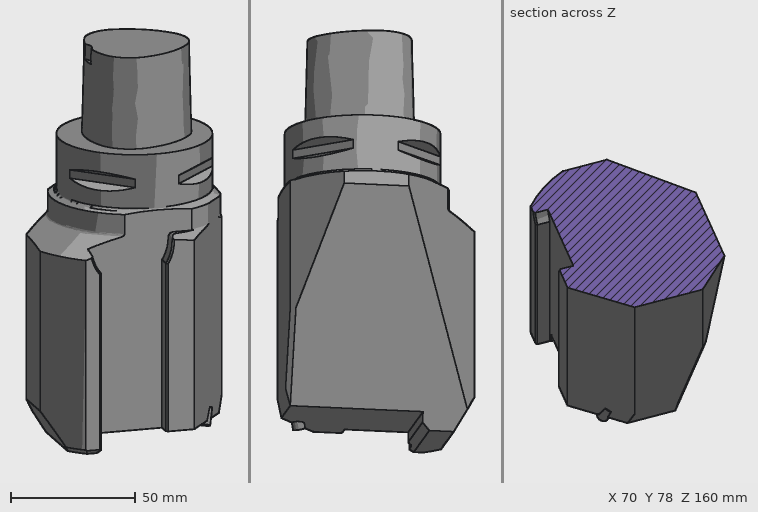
import cadquery as cq
import math

TOTAL_LENGTH = 160.0

SHANK_LENGTH = 38.0
SHANK_TAPER = 0.025
LOBE_REACH = 23.4
SIDE_REACH = 20.7
LOBE_RADIUS = 15.2
NOTCH_DIAMETER = 12.5
NOTCH_DEPTH = 6.3
NOTCH_FLOOR_Y = -18.2

FLANGE_RADIUS = 63 / 2
FLANGE_HEIGHT = 23.5
FLANGE_FILLET = 1.0
NECK_RADIUS = 35.0
NECK_TOP_ANGLE = 15.0
NECK_BOTTOM_Z = -33.2
NECK_FILLET = 1.5
BODY_RADIUS = 50.0
SHOULDER_ANGLE = 25.0
BOTTOM_Z = SHANK_LENGTH - TOTAL_LENGTH
BOTTOM_CHAMFER = 2.3

GROOVE_Z = -12.0
GROOVE_FLOOR = 27.8
GROOVE_FLOOR_WIDTH = 3.5
GROOVE_MOUTH_WIDTH = 7.8

FLAT_DISTANCE = 32.0
SIDE_X = 38.0
FRONT_Y = -46.0
BACK_CORNER_X = 15.8
SIDE_CORNER_Y = 13.3

LEAN_TOP_Z = -29.0
LEAN_BOTTOM_X = 0.2
LEAN_CHAMFER = 2.0

SEAT_Z = -114.9
FOOT_BACK_Y = -24.4
FOOT_CHAMFER = 3.0
FOOT_SIDE_CHAMFER = 2.0
FRONT_BEVEL_HEIGHT = 14.8
FRONT_BEVEL_ANGLE = 30.0
BACK_BEVEL_HEIGHT = 6.9
BACK_BEVEL_DEPTH = 2.0

SLOT_FLOOR_X = 32.0
SLOT_FRONT_Y = -25.8
SLOT_BACK_Y = 1.6
SLOT_EDGE_CHAMFER = 0.7
RELIEF_RADIUS = 17.0
RELIEF_Y = -12.8
RELIEF_Z = -35.4
RELIEF_EDGE_ROUND = 2.3

NOZZLE_DIAMETER = 5.0
NOZZLE_X = 25.0
NOZZLE_Y = 21.9
NOZZLE_LENGTH = 2.4
NOZZLE_DIRECTION = (0.4, -0.25, -1.0)

OVERCUT = 10.0


def polar(radius, degrees):
    angle = math.radians(degrees)
    return (radius * math.cos(angle), radius * math.sin(angle))


def shank_outline(offset, z):
    """Three lobe arcs joined tangentially by three flatter side arcs, shrunk by offset."""
    lobe_radius = LOBE_RADIUS - offset
    lobe_center = LOBE_REACH - LOBE_RADIUS
    gap = SIDE_REACH - LOBE_RADIUS
    side_center = (gap**2 - lobe_center**2) / (lobe_center - 2 * gap)
    across = lobe_center * math.sin(math.radians(60))
    along = side_center + lobe_center * math.cos(math.radians(60))
    spread = math.degrees(math.atan2(across, along))

    def joint(lobe_angle, turn):
        cx, cy = polar(lobe_center, lobe_angle)
        dx, dy = polar(lobe_radius, lobe_angle + turn * (60 - spread))
        return (cx + dx, cy + dy)

    outline = cq.Workplane("XY", origin=(0, 0, z)).moveTo(*joint(90, -1))
    for lobe_angle in (90, 210, 330):
        outline = outline.threePointArc(polar(LOBE_REACH - offset, lobe_angle), joint(lobe_angle, 1))
        side_middle = polar(SIDE_REACH - offset, lobe_angle + 60)
        outline = outline.threePointArc(side_middle, joint(lobe_angle + 120, -1))
    return outline.close().wire().val()


def shank():
    base = shank_outline(0, 0)
    top = shank_outline(SHANK_TAPER * SHANK_LENGTH, SHANK_LENGTH)
    body = cq.Workplane(cq.Solid.makeLoft([base, top]))
    notch_radius = NOTCH_DIAMETER / 2
    notch = (
        cq.Workplane("XY", origin=(0, NOTCH_FLOOR_Y - notch_radius, SHANK_LENGTH - NOTCH_DEPTH))
        .circle(notch_radius)
        .extrude(NOTCH_DEPTH + OVERCUT)
    )
    return body.cut(notch)


def turned_envelope():
    """Flange, neck, conical shoulder and body turned about Z."""
    slope = math.tan(math.radians(SHOULDER_ANGLE))
    shoulder_z = NECK_BOTTOM_Z - slope * (BODY_RADIUS - NECK_RADIUS)
    neck_top_fall = math.tan(math.radians(NECK_TOP_ANGLE))
    neck_top_z = -FLANGE_HEIGHT - neck_top_fall * (NECK_RADIUS - FLANGE_RADIUS - FLANGE_FILLET)
    round_step = FLANGE_FILLET * (1 - math.sqrt(0.5))
    setback = NECK_FILLET * math.tan(math.radians(90 - SHOULDER_ANGLE) / 2)
    cone_start = (
        NECK_RADIUS + setback * math.cos(math.radians(SHOULDER_ANGLE)),
        NECK_BOTTOM_Z - setback * math.sin(math.radians(SHOULDER_ANGLE)),
    )
    profile = (
        cq.Workplane("XZ")
        .moveTo(0, 0)
        .lineTo(FLANGE_RADIUS, 0)
        .lineTo(FLANGE_RADIUS, FLANGE_FILLET - FLANGE_HEIGHT)
        .threePointArc(
            (FLANGE_RADIUS + round_step, round_step - FLANGE_HEIGHT),
            (FLANGE_RADIUS + FLANGE_FILLET, -FLANGE_HEIGHT),
        )
        .lineTo(NECK_RADIUS, neck_top_z)
        .lineTo(NECK_RADIUS, NECK_BOTTOM_Z + setback)
        .tangentArcPoint(cone_start, relative=False)
        .lineTo(BODY_RADIUS, shoulder_z)
        .lineTo(BODY_RADIUS, BOTTOM_Z + BOTTOM_CHAMFER)
        .lineTo(BODY_RADIUS - BOTTOM_CHAMFER, BOTTOM_Z)
        .lineTo(0, BOTTOM_Z)
        .close()
    )
    return profile.revolve(360, (0, 0, 0), (0, 1, 0))


def body_flats():
    """Prism whose flats bound the turned envelope in plan."""
    octagon_half = FLAT_DISTANCE * math.tan(math.radians(22.5))
    diagonal_sum = FLAT_DISTANCE * math.sqrt(2)
    return (
        cq.Workplane("XY", origin=(0, 0, BOTTOM_Z))
        .polyline([
            (-FLAT_DISTANCE, octagon_half),
            (-octagon_half, FLAT_DISTANCE),
            (BACK_CORNER_X, FLAT_DISTANCE),
            (SIDE_X, SIDE_CORNER_Y),
            (SIDE_X, FRONT_Y),
            (-diagonal_sum - FRONT_Y, FRONT_Y),
            (-FLAT_DISTANCE, -octagon_half),
        ])
        .close()
        .extrude(-BOTTOM_Z)
    )


def gripper_grooves():
    """Four V-sided grooves across the flange on the diagonals."""
    reach = FLANGE_RADIUS - GROOVE_FLOOR
    groove = (
        cq.Workplane("XZ", origin=(GROOVE_FLOOR, 0, GROOVE_Z))
        .polyline([
            (0, -GROOVE_FLOOR_WIDTH / 2),
            (reach, -GROOVE_MOUTH_WIDTH / 2),
            (reach, GROOVE_MOUTH_WIDTH / 2),
            (0, GROOVE_FLOOR_WIDTH / 2),
        ])
        .close()
        .extrude(FLANGE_RADIUS, both=True)
    )
    grooves = cq.Workplane("XY")
    for angle in (45, 135, 225, 315):
        grooves = grooves.add(groove.rotate((0, 0, 0), (0, 0, 1), angle))
    return grooves.combine()


def lean_cut():
    """Wedge beyond the leaning -X face, and the chamfer along its +Y edge."""
    wedge = (
        cq.Workplane("XZ")
        .polyline([
            (-FLAT_DISTANCE, LEAN_TOP_Z),
            (LEAN_BOTTOM_X, BOTTOM_Z),
            (-FLAT_DISTANCE, BOTTOM_Z),
        ])
        .close()
        .extrude(BODY_RADIUS, both=True)
    )

    def chamfer_section(face_x, z):
        return cq.Wire.makePolygon(
            [
                cq.Vector(face_x, FLAT_DISTANCE - LEAN_CHAMFER, z),
                cq.Vector(face_x + LEAN_CHAMFER, FLAT_DISTANCE, z),
                cq.Vector(face_x, FLAT_DISTANCE, z),
            ],
            close=True,
        )

    lower = chamfer_section(LEAN_BOTTOM_X, BOTTOM_Z)
    upper = chamfer_section(-FLAT_DISTANCE, LEAN_TOP_Z)
    chamfer = cq.Solid.makeLoft([lower, upper], True)
    return wedge.union(cq.Workplane(chamfer))


def underside():
    """Side profile of the underside: back bevel, seat, foot and front bevel."""
    bevel_depth = FRONT_BEVEL_HEIGHT * math.tan(math.radians(FRONT_BEVEL_ANGLE))
    return (
        cq.Workplane("YZ")
        .polyline([
            (FLAT_DISTANCE, 0),
            (FLAT_DISTANCE, SEAT_Z + BACK_BEVEL_HEIGHT),
            (FLAT_DISTANCE - BACK_BEVEL_DEPTH, SEAT_Z),
            (FOOT_BACK_Y, SEAT_Z),
            (FOOT_BACK_Y, BOTTOM_Z + FOOT_CHAMFER),
            (FOOT_BACK_Y - FOOT_CHAMFER, BOTTOM_Z),
            (FRONT_Y + bevel_depth, BOTTOM_Z),
            (FRONT_Y, BOTTOM_Z + FRONT_BEVEL_HEIGHT),
            (FRONT_Y, 0),
        ])
        .close()
        .extrude(BODY_RADIUS, both=True)
    )


def slot_section(x, growth):
    """YZ wire of the slot with its round relief at the top, grown outward by growth."""
    relief_radius = RELIEF_RADIUS + growth
    edge_round = RELIEF_EDGE_ROUND - growth
    front = SLOT_FRONT_Y - growth
    back = SLOT_BACK_Y + growth
    relief_front = RELIEF_Y - relief_radius
    relief_back = RELIEF_Y + relief_radius
    top_z = RELIEF_Z + edge_round
    round_inset = edge_round * (1 - math.sqrt(0.5))
    far_back_y = relief_back + BODY_RADIUS

    def relief_z(y):
        return RELIEF_Z - math.sqrt(relief_radius**2 - (y - RELIEF_Y) ** 2)

    def relief_middle(start_y, end_y):
        y = (start_y + end_y) / 2
        return (y, relief_z(y))

    return (
        cq.Workplane("YZ", origin=(x, 0, 0))
        .moveTo(front, BOTTOM_Z - OVERCUT)
        .lineTo(front, relief_z(front))
        .threePointArc(relief_middle(relief_front, front), (relief_front, RELIEF_Z))
        .lineTo(relief_front, 0)
        .lineTo(far_back_y, 0)
        .lineTo(far_back_y, top_z)
        .lineTo(relief_back + edge_round, top_z)
        .threePointArc((relief_back + round_inset, top_z - round_inset), (relief_back, RELIEF_Z))
        .threePointArc(relief_middle(relief_back, back), (back, relief_z(back)))
        .lineTo(back, BOTTOM_Z - OVERCUT)
        .close()
        .wire()
        .val()
    )


def blade_slot():
    """Slot along Z in the +X side; its edges on the +X face are chamfered."""
    straight = cq.Solid.extrudeLinear(
        slot_section(SLOT_FLOOR_X, 0), [], cq.Vector(SIDE_X - SLOT_FLOOR_X, 0, 0)
    )
    flare = cq.Solid.makeLoft(
        [slot_section(SIDE_X - SLOT_EDGE_CHAMFER, 0), slot_section(SIDE_X, SLOT_EDGE_CHAMFER)], True
    )
    return cq.Workplane(straight).union(cq.Workplane(flare))


def foot_side_chamfer():
    """Chamfer where the +X side meets the bottom of the foot."""
    return (
        cq.Workplane("XZ")
        .polyline([
            (SIDE_X, BOTTOM_Z),
            (SIDE_X, BOTTOM_Z + FOOT_SIDE_CHAMFER),
            (SIDE_X - FOOT_SIDE_CHAMFER, BOTTOM_Z),
        ])
        .close()
        .extrude(BODY_RADIUS, both=True)
    )


def nozzle():
    """Tilted pin rising into the body far enough to close its upper end."""
    axis = cq.Vector(*NOZZLE_DIRECTION).normalized()
    start = cq.Vector(NOZZLE_X, NOZZLE_Y, SEAT_Z) - axis * NOZZLE_DIAMETER
    return cq.Workplane(
        cq.Solid.makeCylinder(NOZZLE_DIAMETER / 2, NOZZLE_DIAMETER + NOZZLE_LENGTH, start, axis)
    )


body = turned_envelope().intersect(body_flats()).intersect(underside())
body = body.cut(gripper_grooves()).cut(lean_cut()).cut(blade_slot()).cut(foot_side_chamfer())
result = body.union(shank()).union(nozzle())